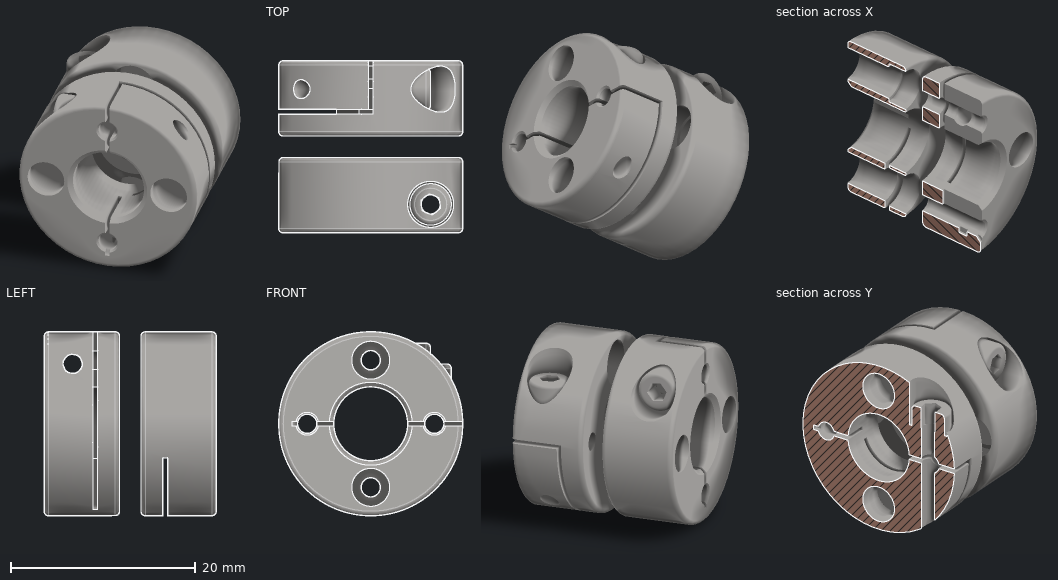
import cadquery as cq
import math


hub_diameter = 20.0
hub_radius = hub_diameter / 2
hub_length = 8.2
hub_gap = 2.3
edge_fillet = 0.5
bore_diameter = 8.0
bore_chamfer = 0.5

hole_circle_radius = 6.9
small_hole_diameter = 2.05
small_hole_chamfer = 0.2
large_hole_diameter = 4.12
pocket_diameter = 5.0

cut_width = 0.5
slot_depth = 5.3
hinge_face_angle = 24.0
hinge_face_offset = 0.4

notch_reach = 0.6
recess_start = 1.98
recess_length = 1.05

screw_x = 6.5
screw_depth = 3.1
screw_hole_diameter = 2.05
counterbore_diameter = 5.0
seat_z = 4.0
head_diameter = 4.5
head_height = 2.5
head_fillet = 0.5
hex_width = 2.0
hex_turn = 98.0
hex_half_side_angle = 30.0

inner_y = -hub_gap / 2
outer_y = inner_y - hub_length
slot_y = outer_y + slot_depth
flange_y = slot_y + cut_width
screw_y = outer_y + screw_depth


def rod_y(diameter, start, end, x=0.0, z=0.0):
    """Cylinder parallel to Y."""
    return cq.Workplane("XZ", origin=(x, start, z)).circle(diameter / 2).extrude(start - end)


def rod_z(diameter, start, end):
    """Cylinder on the screw axis."""
    return cq.Workplane("XY", origin=(screw_x, screw_y, start)).circle(diameter / 2).extrude(end - start)


def countersink(hole_diameter, chamfer, x=0.0):
    """Cone that chamfers an axial hole at the outer face."""
    return (
        cq.Workplane("XZ", origin=(x, outer_y, 0))
        .circle(hole_diameter / 2 + chamfer)
        .workplane(offset=-chamfer)
        .circle(hole_diameter / 2)
        .loft()
    )


def hub_blank():
    """Round hub with rounded rims and the chamfered bore."""
    blank = rod_y(hub_diameter, outer_y, inner_y).edges().fillet(edge_fillet)
    blank = blank.cut(rod_y(bore_diameter, outer_y, inner_y))
    return blank.cut(countersink(bore_diameter, bore_chamfer))


def axial_holes():
    """Small chamfered holes on the X axis and large stepped holes on the Z axis."""
    holes = cq.Workplane("XZ")
    for side in (-1, 1):
        place = side * hole_circle_radius
        holes = holes.union(rod_y(small_hole_diameter, outer_y, inner_y, x=place))
        holes = holes.union(countersink(small_hole_diameter, small_hole_chamfer, x=place))
        holes = holes.union(rod_y(large_hole_diameter, outer_y, inner_y, z=place))
        holes = holes.union(rod_y(pocket_diameter, flange_y, inner_y, z=place))
    return holes


def clamp_slit():
    """Slit from the outer face to the cross slot, from the hinge-side hole out to the +X rim."""
    length = hole_circle_radius + hub_radius
    slit = cq.Workplane("XY").box(length, slot_depth, cut_width, centered=(False, False, True))
    return slit.translate((-hole_circle_radius, outer_y, 0))


def hinge_notches():
    """Ramp at the outer face and a small blind recess, both opening into the hinge-side hole."""
    wall_x = -hole_circle_radius - small_hole_diameter / 2
    bottom_x = wall_x - notch_reach
    recess_y = outer_y + recess_start
    ramp_outline = [
        (-hole_circle_radius, outer_y),
        (bottom_x, outer_y),
        (wall_x, outer_y + notch_reach),
        (-hole_circle_radius, outer_y + notch_reach),
    ]
    notch_plane = cq.Workplane("XY", origin=(0, 0, -cut_width / 2))
    ramp = notch_plane.polyline(ramp_outline).close().extrude(cut_width)
    recess = (
        notch_plane.moveTo(bottom_x, recess_y)
        .rect(-hole_circle_radius - bottom_x, recess_length, centered=False)
        .extrude(cut_width)
    )
    return ramp.union(recess)


def cross_slot():
    """Slot across the axis that frees the -Z half of the clamp up to the hinge."""
    top = cut_width / 2
    slope = math.tan(math.radians(hinge_face_angle))
    hinge_top_x = (top - hinge_face_offset) / slope
    hinge_rim_z = hinge_face_offset - hub_diameter * slope
    outline = [
        (hinge_top_x, top),
        (hub_diameter, top),
        (hub_diameter, -hub_diameter),
        (-hub_diameter, -hub_diameter),
        (-hub_diameter, hinge_rim_z),
    ]
    return cq.Workplane("XZ", origin=(0, slot_y, 0)).polyline(outline).close().extrude(-cut_width)


def screw_head():
    """Cap screw head, rounded at its top, with a hexagon socket through it."""
    corner_diameter = hex_width / math.cos(math.radians(hex_half_side_angle))
    head = rod_z(head_diameter, seat_z, seat_z + head_height).faces(">Z").edges().fillet(head_fillet)
    socket = (
        cq.Workplane("XY")
        .polygon(6, corner_diameter)
        .extrude(head_height)
        .rotate((0, 0, 0), (0, 0, 1), hex_turn)
        .translate((screw_x, screw_y, seat_z))
    )
    return head.cut(socket)


def clamp_hub():
    """Complete hub on the -Y side, in one piece with the head of its clamp screw."""
    hub = hub_blank().cut(axial_holes()).cut(clamp_slit()).cut(hinge_notches()).cut(cross_slot())
    hub = hub.cut(rod_z(screw_hole_diameter, -hub_radius, seat_z))
    hub = hub.cut(rod_z(counterbore_diameter, seat_z, hub_radius))
    return hub.union(screw_head()).solids()


hubs = []
for turn in (0, 180):
    hubs.append(clamp_hub().rotate((0, 0, 0), (1, 0, 1), turn))

result = cq.Compound.makeCompound([hub.val() for hub in hubs])